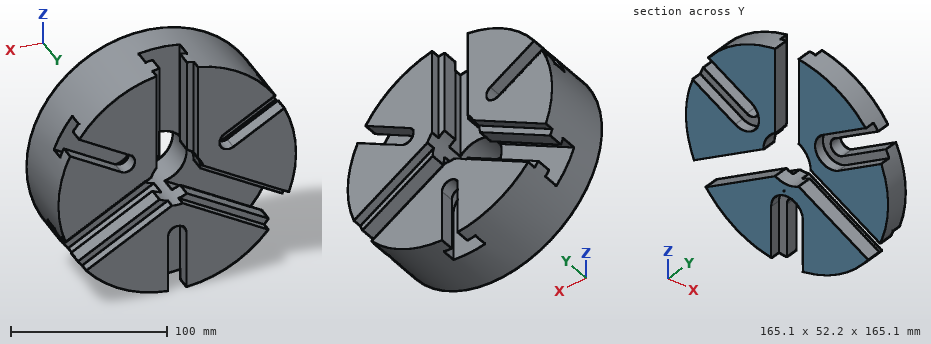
import cadquery as cq

body_diameter = 165.1
body_thickness = 52.2
bore_diameter = 38.1

jaw_wide_width = 28.575
jaw_neck_width = 19.05
jaw_mouth_depth = 6.7
jaw_neck_end_depth = 18.0
jaw_slot_depth = 29.5

tee_neck_width = 12.7
tee_foot_width = 25.4
tee_neck_depth = 10.2
tee_slot_depth = 20.4
tee_end_center_radius = 41.3

slot_count = 3
slot_spacing = 360 / slot_count
first_jaw_angle = 90
first_tee_angle = first_jaw_angle + slot_spacing / 2

body_radius = body_diameter / 2
slot_outer_end = body_radius + jaw_wide_width


def make_body():
    """Bored disc whose slotted back face lies on Y = 0."""
    outline = cq.Workplane("XZ").circle(body_radius).circle(bore_diameter / 2)
    return outline.extrude(body_thickness)


def slot_band(width, start_depth, end_depth, inner_end):
    """Straight band along +X from inner_end past the rim, between two depths below the back face."""
    length = slot_outer_end - inner_end
    height = end_depth - start_depth
    band = cq.Workplane("XY").box(length, height, width, centered=(False, False, True))
    return band.translate((inner_end, -end_depth, 0))


def make_jaw_slot():
    """Jaw slot along +X, starting on the disc axis so that it opens into the bore."""
    mouth = slot_band(jaw_wide_width, 0, jaw_mouth_depth, 0)
    neck = slot_band(jaw_neck_width, jaw_mouth_depth, jaw_neck_end_depth, 0)
    foot = slot_band(jaw_wide_width, jaw_neck_end_depth, jaw_slot_depth, 0)
    return mouth.union(neck).union(foot)


def round_ended_band(width, start_depth, end_depth):
    """Band along +X whose inner end is a half circle as wide as the band."""
    straight = slot_band(width, start_depth, end_depth, tee_end_center_radius)
    round_end = (
        cq.Workplane("XZ", origin=(tee_end_center_radius, -start_depth, 0))
        .circle(width / 2)
        .extrude(end_depth - start_depth)
    )
    return straight.union(round_end)


def make_tee_slot():
    """Blind T-slot along +X, open at the rim and rounded towards the axis."""
    neck = round_ended_band(tee_neck_width, 0, tee_neck_depth)
    foot = round_ended_band(tee_foot_width, tee_neck_depth, tee_slot_depth)
    return neck.union(foot)


def cut_slots(body, slot, first_angle):
    """Cut equally spaced copies of a slot; angles run from +X towards +Z."""
    for index in range(slot_count):
        angle = first_angle + index * slot_spacing
        body = body.cut(slot.rotate((0, 0, 0), (0, -1, 0), angle))
    return body


result = make_body()
result = cut_slots(result, make_jaw_slot(), first_jaw_angle)
result = cut_slots(result, make_tee_slot(), first_tee_angle)